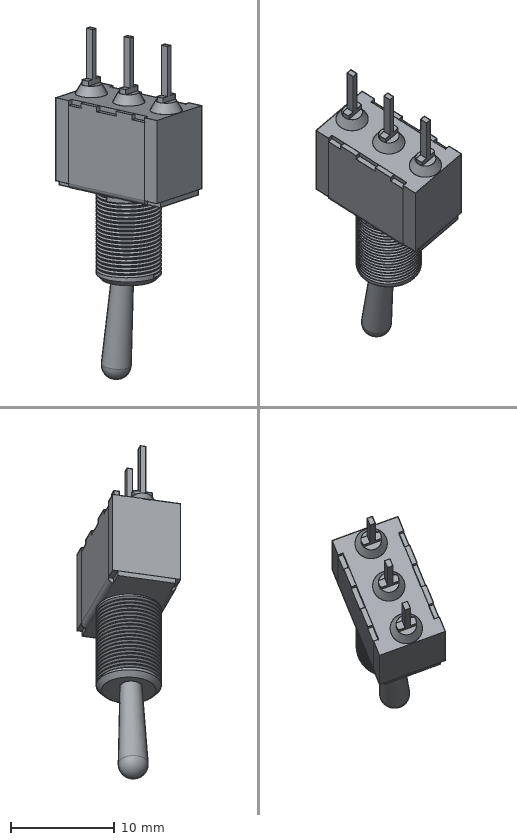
import cadquery as cq
import math


body_length = 12.7
body_width = 6.85
housing_height = 8.4

sheet = 0.52
leg_length = 9.55
plate_bottom = -(housing_height + sheet)
half_gap = body_width / 2 - sheet
notch_inner = 1.22
notch_outer = 3.2
notch_depth = 0.5
end_notch_length = leg_length / 2 - notch_outer
end_notch_center = (leg_length / 2 + notch_outer) / 2

bushing_radius = 3.17
bushing_length = 8.9
bushing_bottom = plate_bottom - bushing_length
bushing_chamfer = 0.52
thread_pitch = 0.4
thread_depth = 0.2
thread_opening = 0.3
thread_overcut = 0.05
thread_end_land = 0.25
thread_bottom = bushing_bottom + bushing_chamfer + thread_end_land
thread_top = plate_bottom - thread_end_land

lever_tilt = 5
lever_tip_radius = 1.45
lever_root_radius = 1.08
lever_bottom = -28.25
lever_tip_center = lever_bottom + lever_tip_radius
lever_length = (plate_bottom - lever_tip_center) / math.cos(math.radians(lever_tilt))

terminal_count = 3
terminal_spacing = 4.7
cone_base_radius = 1.55
cone_top_radius = 1.0
cone_height = 0.97
bar_height = 0.52
terminal_height = 6.55
pin_length = 0.75
pin_width = 0.55


def make_housing():
    """Solid block, recessed on both long sides to take the legs of the frame."""
    block = cq.Workplane("XY").box(body_length, body_width, housing_height, centered=(True, True, False))
    core = cq.Workplane("XY").box(body_length, 2 * half_gap, housing_height, centered=(True, True, False))
    band = cq.Workplane("XY").box(leg_length, body_width, housing_height, centered=(True, True, False))
    return block.cut(band.cut(core)).translate((0, 0, -housing_height))


def make_frame_sheet():
    """U-shaped sheet with rounded folds, its plate running on to both ends of the housing."""
    height = housing_height + sheet
    folded = cq.Workplane("XY").box(leg_length, body_width, height, centered=(True, True, False))
    folded = folded.edges("|X and <Z").fillet(sheet)
    plate = cq.Workplane("XY").box(body_length, 2 * half_gap, sheet, centered=(True, True, False))
    inside = cq.Workplane("XY", origin=(0, 0, sheet)).box(
        leg_length, 2 * half_gap, housing_height, centered=(True, True, False)
    )
    notches = (
        cq.Workplane("XY", origin=(0, 0, height - notch_depth))
        .rect(2 * notch_inner, body_width)
        .extrude(notch_depth)
    )
    for side in (-1, 1):
        end_notch = (
            cq.Workplane("XY", origin=(side * end_notch_center, 0, height - notch_depth))
            .rect(end_notch_length, body_width)
            .extrude(notch_depth)
        )
        notches = notches.union(end_notch)
    return folded.union(plate).cut(inside).cut(notches).translate((0, 0, plate_bottom))


def make_bushing():
    """Cylinder with a chamfered end and a right-hand helical V thread."""
    cylinder = (
        cq.Workplane("XY", origin=(0, 0, bushing_bottom))
        .circle(bushing_radius)
        .extrude(bushing_length)
        .faces("<Z")
        .chamfer(bushing_chamfer)
    )
    flank = thread_opening / 2 * (thread_depth + thread_overcut) / thread_depth
    path = cq.Wire.makeHelix(thread_pitch, thread_top - thread_bottom, bushing_radius)
    groove = (
        cq.Workplane("XZ")
        .moveTo(bushing_radius - thread_depth, 0)
        .lineTo(bushing_radius + thread_overcut, flank)
        .lineTo(bushing_radius + thread_overcut, -flank)
        .close()
        .sweep(cq.Workplane(obj=path), isFrenet=True)
        .translate((0, 0, thread_bottom))
    )
    return cylinder.cut(groove)


def make_lever():
    """Tapered round lever with a hemispherical tip, leaning towards -X."""
    profile = (
        cq.Workplane("XZ")
        .moveTo(0, -bushing_length)
        .lineTo(lever_root_radius, -bushing_length)
        .lineTo(lever_tip_radius, -lever_length)
        .radiusArc((0, -lever_length - lever_tip_radius), lever_tip_radius)
        .close()
    )
    lever = profile.revolve(360, (0, 0, 0), (0, 1, 0))
    return lever.rotate((0, 0, 0), (0, 1, 0), lever_tilt).translate((0, 0, plate_bottom))


def make_actuator():
    """Frame sheet, bushing and lever joined as one body."""
    return make_frame_sheet().union(make_bushing()).union(make_lever())


def make_terminal(x):
    """Conical foot, a crossbar rounded to the top of the cone, and a slim upright pin."""
    foot = (
        cq.Workplane("XY")
        .circle(cone_base_radius)
        .workplane(offset=cone_height)
        .circle(cone_top_radius)
        .loft(ruled=True)
    )
    crossbar = (
        cq.Workplane("XY", origin=(0, 0, cone_height))
        .circle(cone_top_radius)
        .extrude(bar_height)
        .intersect(cq.Workplane("XY").box(pin_length, 2 * cone_top_radius, terminal_height))
    )
    pin = (
        cq.Workplane("XY", origin=(0, 0, cone_height))
        .rect(pin_length, pin_width)
        .extrude(terminal_height - cone_height)
    )
    return foot.union(crossbar).union(pin).translate((x, 0, 0))


housing = make_housing()
actuator = make_actuator()
terminals = []
for index in range(terminal_count):
    offset = index - (terminal_count - 1) / 2
    terminals.append(make_terminal(offset * terminal_spacing).val())

result = cq.Compound.makeCompound([housing.val(), *actuator.solids().vals(), *terminals])